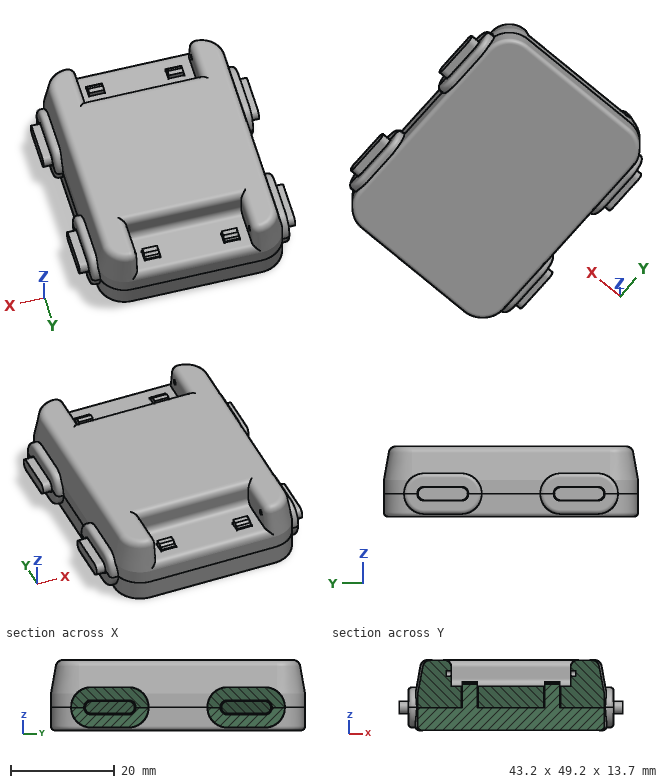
import cadquery as cq
import math

SIDES = (-1, 1)
MARGIN = 0.05

case_length = 49.15
case_width = 36.95
case_height = 13.65
corner_radius = 5.45
parting_z = 4.45
taper_start_z = 7.15
taper_angle = 10.0
upper_edge_radius = 1.47
bottom_edge_radius = 0.85

notch_half_width = 11.5
notch_floor_z = 8.6
notch_back_y = 15.05
notch_root_radius = 1.45
bore_diameter = 1.0
bore_depth = 1.0
bore_y = 21.15
bore_z = 11.05

pad_y = 13.17
end_spacing = 7.2
pad_radius = 3.95
pad_face_x = 19.85
pad_root_x = case_width / 2 - 1.95
pad_edge_radius = 0.8
pin_radius = 1.25
overall_width = 43.2
pin_tip_x = overall_width / 2
pin_root_x = case_width / 2
clearance = 0.15

hook_x = 7.95
hook_width = 2.95
hook_back_y = 19.25
hook_tip_y = 21.35
hook_tip_z = 8.75
hook_top_z = 9.45
hook_top_length = 1.05
hook_round_radius = 0.9
hook_lead_in = 0.35


def case_blank():
    """Closed block: upright walls below, leaning walls above."""
    lower = (
        cq.Workplane("XY")
        .rect(case_width, case_length)
        .extrude(taper_start_z)
        .edges("|Z")
        .fillet(corner_radius)
    )
    upper = (
        lower.faces(">Z")
        .wires()
        .toPending()
        .workplane()
        .extrude(case_height - taper_start_z, taper=taper_angle, combine=False)
    )
    return lower.faces("<Z").edges().fillet(bottom_edge_radius).union(upper)


def notch_cutter(end):
    """Notch open at the end wall, with a rounded root between its floor and its back wall."""
    root_end_y = notch_back_y + notch_root_radius
    root_top_z = notch_floor_z + notch_root_radius
    return (
        cq.Workplane("YZ", origin=(-notch_half_width, 0, 0))
        .moveTo(end * case_length, notch_floor_z)
        .lineTo(end * root_end_y, notch_floor_z)
        .radiusArc((end * notch_back_y, root_top_z), end * notch_root_radius)
        .lineTo(end * notch_back_y, case_height)
        .lineTo(end * case_length, case_height)
        .close()
        .extrude(2 * notch_half_width)
    )


def notched_case():
    case = case_blank()
    for end in SIDES:
        case = case.cut(notch_cutter(end))
    rounded_edges = case.faces(">Z").edges()
    wall_lean = (case_height - taper_start_z) * math.tan(math.radians(taper_angle))
    for end in SIDES:
        rounded_edges = rounded_edges.add(case.edges(cq.selectors.BoxSelector(
            (-notch_half_width - MARGIN, end * (case_length / 2 - wall_lean), notch_floor_z - MARGIN),
            (notch_half_width + MARGIN, end * case_length / 2, case_height - MARGIN))))
    return rounded_edges.fillet(upper_edge_radius)


def obround(side, end, radius, inner_x, outer_x):
    """Bar with round ends that points outwards along X, centred on the parting plane."""
    length = end_spacing + 2 * radius
    return (
        cq.Workplane("YZ", origin=(side * inner_x, end * pad_y, parting_z))
        .slot2D(length, 2 * radius)
        .extrude(side * (outer_x - inner_x))
    )


def pad(side, end):
    outer_face = ">X" if side > 0 else "<X"
    bar = obround(side, end, pad_radius, pad_root_x, pad_face_x)
    return bar.faces(outer_face).edges().fillet(pad_edge_radius)


def pin(side, end):
    return obround(side, end, pin_radius, pin_root_x, pin_tip_x)


def bore(side, end):
    return (
        cq.Workplane("YZ", origin=(side * notch_half_width, end * bore_y, bore_z))
        .circle(bore_diameter / 2)
        .extrude(side * bore_depth)
    )


def hook(side, end):
    """Post standing on the parting plane, its top rounded and sloped down towards the end wall."""
    slope_start_y = hook_tip_y - hook_lead_in
    round_start_y = hook_back_y + hook_top_length
    return (
        cq.Workplane("YZ", origin=(side * hook_x - hook_width / 2, 0, 0))
        .moveTo(end * hook_back_y, parting_z)
        .lineTo(end * hook_back_y, hook_top_z)
        .lineTo(end * round_start_y, hook_top_z)
        .radiusArc((end * slope_start_y, hook_tip_z + hook_lead_in), -end * hook_round_radius)
        .lineTo(end * hook_tip_y, hook_tip_z)
        .lineTo(end * hook_tip_y, parting_z)
        .close()
        .extrude(hook_width)
    )


def window(side, end):
    length = hook_tip_y - hook_back_y + 2 * clearance
    centre_y = end * (hook_tip_y + hook_back_y) / 2
    return (
        cq.Workplane("XY", origin=(side * hook_x, centre_y, parting_z))
        .rect(hook_width + 2 * clearance, length)
        .extrude(hook_top_z - parting_z)
    )


PLACES = [(side, end) for side in SIDES for end in SIDES]

case = notched_case()
for side, end in PLACES:
    pin_pocket = obround(side, end, pin_radius + clearance, pin_root_x, pin_tip_x)
    case = case.union(pad(side, end)).cut(pin_pocket).cut(bore(side, end))

lower_block = cq.Workplane("XY").box(
    overall_width, case_length, parting_z, centered=(True, True, False))
lower_case = case.intersect(lower_block)
upper_case = case.cut(lower_block)
for side, end in PLACES:
    upper_case = upper_case.cut(window(side, end))
    lower_case = lower_case.union(hook(side, end))

pins = [pin(side, end).val() for side, end in PLACES]

result = cq.Compound.makeCompound([lower_case.val(), upper_case.val(), *pins])